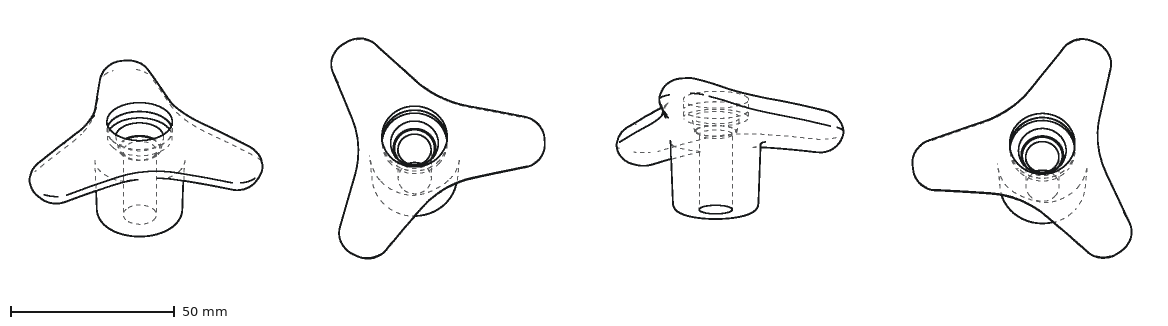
import cadquery as cq
import math

height = 34.8
arm_count = 3
arm_reach = 39.8

web_gap = 17.2
web_radius = 30.1
arm_half_taper = 12.0
tip_corner_margin = 0.7
tip_corner_radius = 7.3

dome_radius = 267.45
arm_thickness = 12.2
top_edge_radius = 7.0
bottom_edge_radius = 6.2

hub_top_diameter = 27.7
hub_bottom_diameter = 26.0
hub_edge_radius = 2.0
hub_root_radius = 1.9
root_band = 0.65

cap_seat_diameter = 19.9
cap_ledge_depth = 3.3
cap_ledge_width = 0.1
cap_seat_depth = 5.7
pocket_top_diameter = 14.55
pocket_bottom_diameter = 13.0
pocket_depth = 4.2
countersink_diameter = 12.2
through_diameter = 10.1

crown = dome_radius - math.sqrt(dome_radius ** 2 - (cap_seat_diameter / 2) ** 2)
underside = crown - arm_thickness


def polar(radius, degrees):
    """Point at a distance and angle from the hub axis."""
    angle = math.radians(degrees)
    return radius * math.cos(angle), radius * math.sin(angle)


def turn(point, degrees):
    """Rotate a point about the hub axis."""
    x, y = point
    return polar(math.hypot(x, y), math.degrees(math.atan2(y, x)) + degrees)


def arm_prism():
    """Upright prism of the three-armed outline with rounded tip corners."""
    pitch = 360.0 / arm_count
    taper = math.radians(arm_half_taper)
    web_x, web_y = polar(web_gap + web_radius, pitch / 2)
    web_end = (web_x - web_radius * math.sin(taper), web_y - web_radius * math.cos(taper))
    web_start = (web_end[0], -web_end[1])
    tip_y = web_end[1] - (arm_reach - web_end[0]) * math.tan(taper)
    tip_corners = []

    outline = cq.Workplane("XY").workplane(offset=-height).moveTo(*web_start)
    for i in range(arm_count):
        spin = i * pitch
        arm_corners = [turn((arm_reach, y), spin) for y in (-tip_y, tip_y)]
        tip_corners += arm_corners
        outline = outline.lineTo(*arm_corners[0])
        outline = outline.lineTo(*arm_corners[1])
        outline = outline.lineTo(*turn(web_end, spin))
        web_middle = polar(web_gap, spin + pitch / 2)
        outline = outline.threePointArc(web_middle, turn(web_start, spin + pitch))
    prism = outline.close().extrude(2 * height)

    for x, y in tip_corners:
        corner = cq.selectors.BoxSelector(
            (x - tip_corner_margin, y - tip_corner_margin, -height),
            (x + tip_corner_margin, y + tip_corner_margin, height),
        )
        prism = prism.edges("|Z").edges(corner).fillet(tip_corner_radius)
    return prism


def dome(top_z):
    """Ball with its top point on the hub axis and its poles clear of the arms."""
    ball = cq.Workplane("XY").sphere(dome_radius).rotate((0, 0, 0), (1, 0, 0), 90)
    return ball.translate((0, 0, top_z - dome_radius))


def arms():
    """Arms whose top and bottom roundings cross in a parting line along the side."""
    prism = arm_prism()
    round_topped = prism.intersect(dome(crown)).faces("%SPHERE").edges().fillet(top_edge_radius)
    round_bottomed = prism.cut(dome(underside)).faces("%SPHERE").edges().fillet(bottom_edge_radius)
    return round_topped.intersect(round_bottomed)


def hub():
    """Tapered hub reaching up into the arms, rounded at its bottom edge."""
    slope = (hub_top_diameter - hub_bottom_diameter) / 2 / (height + underside)
    buried_top = underside / 2
    buried_radius = hub_bottom_diameter / 2 + slope * (height + buried_top)
    profile = (
        cq.Workplane("XZ")
        .moveTo(0, -height)
        .lineTo(hub_bottom_diameter / 2, -height)
        .lineTo(buried_radius, buried_top)
        .lineTo(0, buried_top)
        .close()
    )
    cone = profile.revolve(360, (0, 0), (0, 1))
    return cone.faces("<Z").edges().fillet(hub_edge_radius)


def round_root(knob):
    """Fillet the seam where the hub meets the underside of the arms."""
    reach = hub_top_diameter / 2 + hub_root_radius
    seam = cq.selectors.BoxSelector(
        (-reach, -reach, underside - root_band),
        (reach, reach, underside + root_band),
    )
    return knob.edges(seam).fillet(hub_root_radius)


def bore():
    """Stepped bore: cap seat with a fine ledge, tapered pocket, countersink and through hole."""
    pocket_floor = -cap_seat_depth - pocket_depth
    countersink_depth = (countersink_diameter - through_diameter) / 2
    seat_radius = cap_seat_diameter / 2
    lower_seat_radius = seat_radius - cap_ledge_width
    profile = (
        cq.Workplane("XZ")
        .moveTo(0, crown)
        .lineTo(seat_radius, crown)
        .lineTo(seat_radius, -cap_ledge_depth)
        .lineTo(lower_seat_radius, -cap_ledge_depth)
        .lineTo(lower_seat_radius, -cap_seat_depth)
        .lineTo(pocket_top_diameter / 2, -cap_seat_depth)
        .lineTo(pocket_bottom_diameter / 2, pocket_floor)
        .lineTo(countersink_diameter / 2, pocket_floor)
        .lineTo(through_diameter / 2, pocket_floor - countersink_depth)
        .lineTo(through_diameter / 2, -height)
        .lineTo(0, -height)
        .close()
    )
    return profile.revolve(360, (0, 0), (0, 1))


knob = round_root(arms().union(hub()))
result = knob.cut(bore())